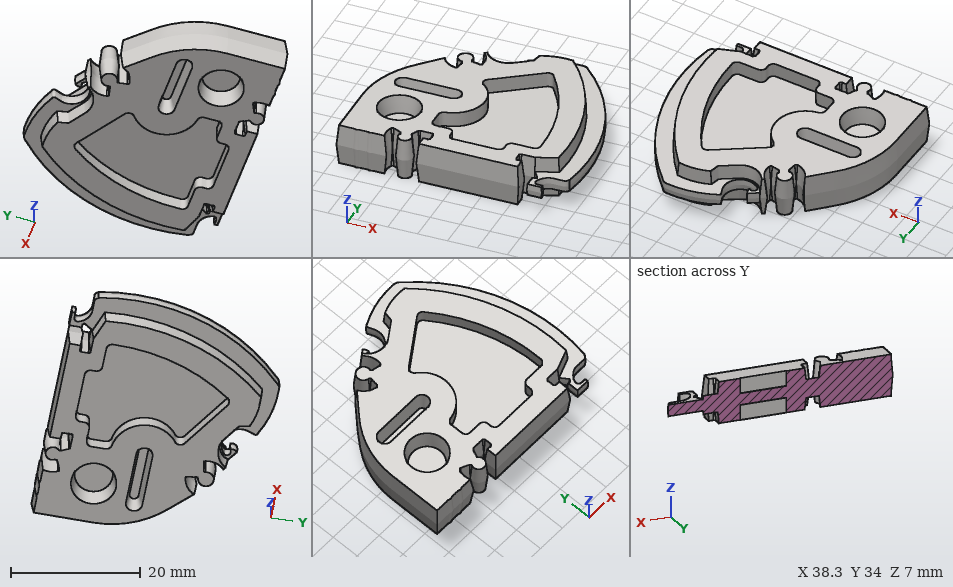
import cadquery as cq
import math

THICKNESS = 7.0
FLANGE_THICKNESS = 2.0
DRAFT = 5.0
HALF = THICKNESS / 2
HALF_FLANGE = FLANGE_THICKNESS / 2

BACK_ARC_START = 9.68
BACK_ARC_RADIUS = 15.87
BACK_ARC_SWEEP = 45

RIDGE_CENTRES = (3.33, 5.55)
RIDGE_WIDTH = 0.9
RIDGE_HEIGHT = 0.1
FOOT_LEFT = 13.4
FOOT_RIGHT = 30.5
NOTCH_DEPTH_X = 1.07
NOTCH_FLOOR = 2.35
NOTCH_ROOF = 3.45
NECK_TOP_X = 12.47
FLANGE_ROOT_X = 31.75

UPPER_BALL_RADIUS = 1.53
LOWER_BALL_RADIUS = 1.4
SOCKET_RADIUS = 2.85
LOWER_BALL = (10.95, 1.3)
LOWER_NECK_ANGLES = (45, 155)
UPPER_BALL = (10.95, 25.32)
UPPER_NECK_ANGLES = (-98, -12)
UPPER_SOCKET_ANGLES = (-160, 51)

SEAT_CENTRE = (16.4, 29.55)
SEAT_RADIUS = 2.7
SEAT_ANGLES = (15, -135)
SEAT_WALL_RADIUS = 3.02
SEAT_WALL_ANGLES = (-56, -156.7)
SLOPE_CORNER = (12.65, 27.7)
SLOPE_LIP = (8.0, 24.4)
HOOK_TIP = (15.2, 29.5)
FLANGE_SLOPE_END = (13.58, 28.35)

FLANGE_ARC_CENTRE = (5.62, 9.65)
FLANGE_ARC_RADIUS = 32.63
FLANGE_ARC_ANGLES = (-11, 46.2)
BODY_ARC_CENTRE = (1.55, 8.4)
BODY_ARC_RADIUS = 33.95
BODY_ARC_ANGLES = (-6.1, 42.3)

BODY_TOP_MIDDLE = (23.8, 31.25)
BODY_TOP_END = (21.0, 30.45)
BODY_STEP = (20.65, 28.8)

HOOK_LEFT = 31.95
HOOK_RIGHT = 34.42
HOOK_BOTTOM = -0.2
HOOK_LIP = 0.5
HOOK_SHOULDER = 1.95
HOOK_NOTCH_TOP = (32.63, 2.18)
HOOK_NOTCH_X = 32.47
HOOK_LIP_X = 33.5
HOOK_THROAT_ARC = ((33.12, 0.65), (32.97, 1.0))
FLANGE_BOTTOM = 2.83
HOOK_BORE_ARC = ((33.65, 2.2), (34.92, FLANGE_BOTTOM))
FLANGE_CORNER_X = 36.72
FLANGE_CORNER_ARC = ((37.3, 3.0), (37.55, 3.4))

FLANGE_TOP_ARCS = (
    ((27.65, 33.65), (26.95, 33.8)),
    ((22.85, 33.43), (18.95, 32.0)),
    ((18.6, 31.75), (18.63, 31.35)),
)

UPPER_THROAT_ARC = ((14.57, 28.15), (15.05, 28.4))
UPPER_HOOK_NOSE = (15.55, 28.2)
UPPER_HOOK_FACE = (15.6, 28.85)

FLANGE_INNER_POINTS = ((14.35, 26.4), (22.95, 24.85), (30.6, 7.65))

POCKET_DEPTH = HALF - HALF_FLANGE
POCKET_FILLET = 0.9
POCKET_ARC_CENTRE = (0.5, 7.85)
POCKET_ARC_RADIUS = 30.8
POCKET_ARC_ANGLES = (-3.4, 37.7)
BULGE_CENTRE = (13.2, 15.22)
BULGE_RADIUS = 5.3
BULGE_ANGLES = (67, -89.4)
POCKET_LEFT = 13.25
POCKET_BOTTOM = 6.0
POCKET_TAB_LEFT = 17.17
POCKET_TAB_RIGHT = 26.25
POCKET_TAB_BOTTOM = 3.55
RECESS_DEPTH = 3.0
RECESS_DRAFT = 11
ROUND_RECESS_CENTRE = (7.0, 8.45)
ROUND_RECESS_DIAMETER = 7.05
SLOT_CENTRE = (9.0, 15.22)
SLOT_LENGTH = 11.05
SLOT_WIDTH = 2.55


def polar(centre, radius, angle):
    """Point on a circle, with the angle in degrees."""
    turn = math.radians(angle)
    return (centre[0] + radius * math.cos(turn), centre[1] + radius * math.sin(turn))


def arc_through(sketch, centre, radius, start, end):
    """Draw a line to the start of an arc, then the arc itself."""
    middle = (start + end) / 2
    return sketch.lineTo(*polar(centre, radius, start)).threePointArc(
        polar(centre, radius, middle), polar(centre, radius, end)
    )


def two_sided(outline, half_height):
    """Extrude an outline both ways from the parting plane with draft."""
    upper = outline.extrude(half_height, taper=DRAFT)
    return upper.union(upper.mirror("XY"))


def body_outline():
    sketch = cq.Workplane("XY").moveTo(0, 0)
    for x in RIDGE_CENTRES:
        sketch = sketch.lineTo(x - RIDGE_WIDTH / 2, 0).threePointArc(
            (x, -RIDGE_HEIGHT), (x + RIDGE_WIDTH / 2, 0)
        )

    neck_right, neck_left = LOWER_NECK_ANGLES
    mouth_angle = math.degrees(math.asin(LOWER_BALL[1] / SOCKET_RADIUS))
    sketch = arc_through(sketch, LOWER_BALL, SOCKET_RADIUS, 180 + mouth_angle, neck_left)
    sketch = arc_through(sketch, LOWER_BALL, LOWER_BALL_RADIUS, neck_left, 360 + neck_right)

    sketch = (
        sketch.lineTo(NECK_TOP_X, NOTCH_ROOF)
        .lineTo(FOOT_LEFT + NOTCH_DEPTH_X, NOTCH_ROOF)
        .lineTo(FOOT_LEFT + NOTCH_DEPTH_X, NOTCH_FLOOR)
        .lineTo(FOOT_LEFT, NOTCH_FLOOR)
        .lineTo(FOOT_LEFT, 0)
        .lineTo(FOOT_RIGHT, 0)
        .lineTo(FOOT_RIGHT, NOTCH_FLOOR)
        .lineTo(FOOT_RIGHT - NOTCH_DEPTH_X, NOTCH_FLOOR)
        .lineTo(FOOT_RIGHT - NOTCH_DEPTH_X, NOTCH_ROOF)
        .lineTo(FLANGE_ROOT_X, NOTCH_ROOF)
    )

    sketch = arc_through(sketch, BODY_ARC_CENTRE, BODY_ARC_RADIUS, *BODY_ARC_ANGLES)
    sketch = sketch.threePointArc(BODY_TOP_MIDDLE, BODY_TOP_END).lineTo(*BODY_STEP)
    sketch = arc_through(sketch, SEAT_CENTRE, SEAT_WALL_RADIUS, *SEAT_WALL_ANGLES)
    sketch = sketch.lineTo(*SLOPE_CORNER)

    neck_left, neck_right = UPPER_NECK_ANGLES
    sketch = arc_through(sketch, UPPER_BALL, SOCKET_RADIUS, UPPER_SOCKET_ANGLES[1], neck_right)
    sketch = arc_through(sketch, UPPER_BALL, UPPER_BALL_RADIUS, neck_right, 360 + neck_left)
    sketch = arc_through(sketch, UPPER_BALL, SOCKET_RADIUS, neck_left, UPPER_SOCKET_ANGLES[0])
    sketch = sketch.lineTo(*SLOPE_LIP)

    back_centre = (BACK_ARC_RADIUS, BACK_ARC_START)
    sketch = arc_through(sketch, back_centre, BACK_ARC_RADIUS, 180 - BACK_ARC_SWEEP, 180)
    return sketch.close()


def flange_outline():
    sketch = (
        cq.Workplane("XY")
        .moveTo(FLANGE_ROOT_X, NOTCH_ROOF)
        .lineTo(*HOOK_NOTCH_TOP)
        .lineTo(HOOK_NOTCH_X, HOOK_SHOULDER)
        .lineTo(HOOK_LEFT, HOOK_SHOULDER)
        .lineTo(HOOK_LEFT, HOOK_BOTTOM)
        .lineTo(HOOK_RIGHT, HOOK_BOTTOM)
        .lineTo(HOOK_RIGHT, HOOK_LIP)
        .lineTo(HOOK_LIP_X, HOOK_LIP)
        .threePointArc(*HOOK_THROAT_ARC)
        .threePointArc(*HOOK_BORE_ARC)
        .lineTo(FLANGE_CORNER_X, FLANGE_BOTTOM)
        .threePointArc(*FLANGE_CORNER_ARC)
    )
    sketch = arc_through(sketch, FLANGE_ARC_CENTRE, FLANGE_ARC_RADIUS, *FLANGE_ARC_ANGLES)
    for middle, end in FLANGE_TOP_ARCS:
        sketch = sketch.threePointArc(middle, end)
    sketch = arc_through(sketch, SEAT_CENTRE, SEAT_RADIUS, *SEAT_ANGLES)
    sketch = (
        sketch.threePointArc(*UPPER_THROAT_ARC)
        .lineTo(*UPPER_HOOK_NOSE)
        .threePointArc(UPPER_HOOK_FACE, HOOK_TIP)
        .lineTo(*FLANGE_SLOPE_END)
    )
    for point in FLANGE_INNER_POINTS:
        sketch = sketch.lineTo(*point)
    return sketch.close()


def pocket():
    """Fan-shaped pocket with straight walls, cut from the top face."""
    sketch = (
        cq.Workplane("XY", origin=(0, 0, HALF - POCKET_DEPTH))
        .moveTo(POCKET_LEFT, POCKET_BOTTOM)
        .lineTo(POCKET_TAB_LEFT, POCKET_BOTTOM)
        .lineTo(POCKET_TAB_LEFT, POCKET_TAB_BOTTOM)
        .lineTo(POCKET_TAB_RIGHT, POCKET_TAB_BOTTOM)
        .lineTo(POCKET_TAB_RIGHT, POCKET_BOTTOM)
    )
    sketch = arc_through(sketch, POCKET_ARC_CENTRE, POCKET_ARC_RADIUS, *POCKET_ARC_ANGLES)
    sketch = arc_through(sketch, BULGE_CENTRE, BULGE_RADIUS, *BULGE_ANGLES)
    return sketch.close().extrude(POCKET_DEPTH).edges("|Z").fillet(POCKET_FILLET)


def facing_down(centre):
    """Workplane on the top face that looks into the part."""
    return cq.Workplane(cq.Plane((*centre, HALF), xDir=(1, 0, 0), normal=(0, 0, -1)))


def drafted_recesses():
    """Round recess and slot that narrow towards their floors."""
    disc = facing_down(ROUND_RECESS_CENTRE).circle(ROUND_RECESS_DIAMETER / 2)
    slot = facing_down(SLOT_CENTRE).slot2D(SLOT_LENGTH, SLOT_WIDTH)
    return [shape.extrude(RECESS_DEPTH, taper=RECESS_DRAFT) for shape in (disc, slot)]


result = two_sided(body_outline(), HALF).union(two_sided(flange_outline(), HALF_FLANGE))
for cutter in [pocket()] + drafted_recesses():
    result = result.cut(cutter).cut(cutter.mirror("XY"))